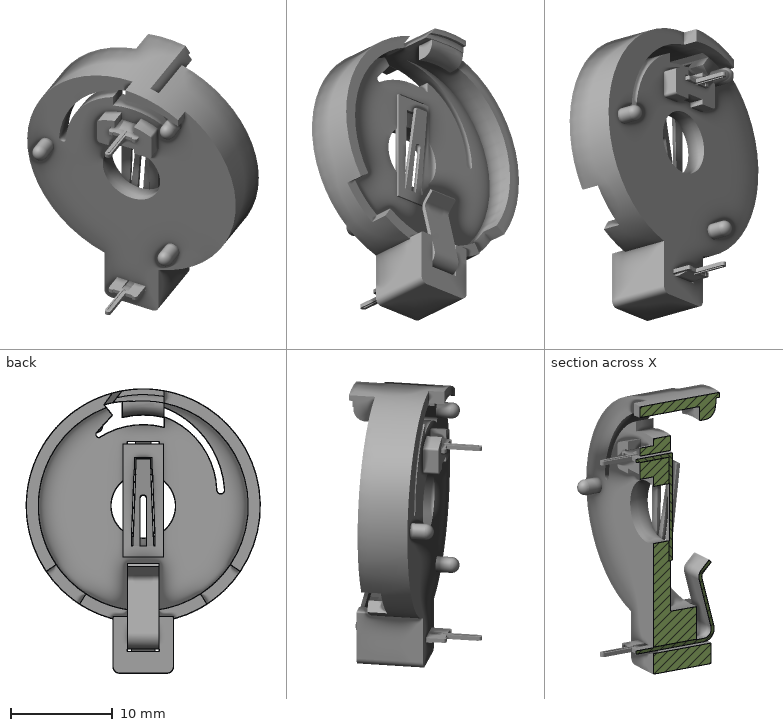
import cadquery as cq
import math


cup_radius = 23.0 / 2
cavity_radius = 10.3
cup_depth = 4.97
floor_thickness = 2.0
hole_radius = 3.15
notch_start_angle = 34
notch_end_angle = 57
notch_floor_y = 3.02

overall_height = 27.95
box_bottom = cup_radius - overall_height
box_half_width = 3.0
box_depth = 6.65
box_top = -10.85
box_bottom_radius = 0.7
box_top_radius = 0.17

arm_centre = (1.29, 1.0)
arm_radius = 9.28
slot_centre = (0.75, 1.29)
slot_radius = 8.0
slot_end_z = 1.56
slot_outer_middle_x = -3.9
slot_inner_middle_x = -5.3
window_radius = 8.0
window_left = -2.05
window_tip_x = 4.33
beak_root = (3.85, 9.95)
beak_point = (3.02, 8.9)
beak_foot = (4.55, 7.25)
tip_bulge = (4.6, 6.9)
arm_end_top = (2.07, 11.32)
arm_end_bottom = (3.0, 10.11)
rim_end_top = (3.02, 11.1)
cut_margin = 0.28

tab_end_y = 7.6
tab_lip_start_y = 7.25
tab_lip_thickness = 0.55
tab_right = 3.0
hook_right = 2.07
hook_radius = 8.9
hook_front_y = 5.28
hook_back_y = 7.15
hook_round = 1.23

raised_height = 1.55
guard_left = 0.1
guard_right = 5.92
block_half_width = 3.0
block_bottom = 3.9
block_top_radius = 6.5
block_top_centre = (0, 0.78)
block_corner_radius = 0.28
block_notch_half_width = 1.05
block_notch_bottom_height = 0.5
peg_radius = 0.78
peg_length = 2.24
peg_places = [(-9.3, 0.2), (4.75, 7.93), (4.5, -8.07)]

sheet = 0.4
slot_height = 0.61
pad_half_width = 1.56
pad_front_y = -2.0
pad_corner_radius = 0.22
pad_relief_half_width = 1.05
pad_relief_depth = 0.15
neck_groove_half_width = 0.4
neck_offset = 0.22
neck_start_y = 0.55
neck_slope_length = 0.98
upper_neck_half_width = 0.78
upper_neck_end_y = -1.17
lower_neck_half_width = 1.17
lower_neck_end_y = -1.42
pin_width = 0.61
pin_front_y = -5.35
pin_tip_ratio = 0.45
ridge_width = 0.25
ridge_height = 0.08
ridge_front_y = -5.03
upper_terminal_z = 5.7
lower_terminal_z = -13.65

plate_front_y = 1.82
plate_half_width = 2.0
plate_bottom = -5.03
tongue_root_z = -3.9
tongue_tip_z = 4.75
tongue_root_half_width = 1.03
tongue_tip_half_width = 0.7
tongue_gap = 0.15
tongue_tilt = 8
tongue_slit_half_width = 0.3
tongue_slit_top = 1.15

bend_y = 5.8
bend_outer_radius = 1.2
spring_tilt = 15
tip_tilt = 45
knee_point = (5.3, -7.05)
knee_radius = 0.73
spring_tip_y = 6.55


def front_plane(y):
    """Workplane at depth y, drawn in X and Z; positive extrusion runs toward -Y."""
    return cq.Workplane("XZ", origin=(0, y, 0))


def block(x0, x1, y0, y1, z0, z1):
    size = (x1 - x0, y1 - y0, z1 - z0)
    return cq.Workplane("XY").box(*size, centered=False).translate((x0, y0, z0))


def disc(radius, y0, y1, centre=(0, 0)):
    return front_plane(y1).center(*centre).circle(radius).extrude(y1 - y0)


def circle_z(radius, x, centre=(0, 0)):
    """Height of the upper half of a circle at x."""
    return centre[1] + math.sqrt(radius ** 2 - (x - centre[0]) ** 2)


def circle_point(radius, x, centre=(0, 0)):
    return (x, circle_z(radius, x, centre))


def left_point(radius, z, centre):
    """Point at height z on the left half of a circle."""
    return (centre[0] - math.sqrt(radius ** 2 - (z - centre[1]) ** 2), z)


def x_on_line(start, end, z):
    return start[0] + (end[0] - start[0]) * (z - start[1]) / (end[1] - start[1])



def cup():
    body = disc(cup_radius, 0, cup_depth)
    body = body.cut(disc(cavity_radius, floor_thickness, cup_depth))
    return body.cut(disc(hole_radius, 0, floor_thickness))


def side_notches():
    """Radial gaps through the rim on both sides of the box."""
    reach = 2 * cup_radius
    start = math.radians(notch_start_angle)
    end = math.radians(notch_end_angle)
    cuts = cq.Workplane("XY")
    for side in (-1, 1):
        corners = [(0, 0)]
        for angle in (start, end):
            corners.append((side * reach * math.cos(angle), -reach * math.sin(angle)))
        wedge = front_plane(cup_depth).polyline(corners).close().extrude(cup_depth - notch_floor_y)
        cuts = cuts.add(wedge)
    return cuts.combine()


def terminal_box():
    body = block(-box_half_width, box_half_width, 0, box_depth, box_bottom, box_top)
    body = body.edges("|Y and <Z").fillet(box_bottom_radius)
    body = body.edges("|Y and >Z").fillet(box_top_radius)
    return body.cut(disc(cavity_radius, floor_thickness, box_depth))


def arm_opening():
    """Narrow curved slot that widens into the window below the latch."""
    outer_left = left_point(arm_radius, slot_end_z, arm_centre)
    inner_left = left_point(slot_radius, slot_end_z, slot_centre)
    end_radius = (inner_left[0] - outer_left[0]) / 2
    slot_end = (outer_left[0] + end_radius, slot_end_z - end_radius)
    outer_middle = circle_point(arm_radius, slot_outer_middle_x, arm_centre)
    inner_middle = circle_point(slot_radius, slot_inner_middle_x, slot_centre)
    outline = (
        front_plane(cup_depth)
        .moveTo(*outer_left)
        .threePointArc(outer_middle, beak_root)
        .lineTo(*beak_point)
        .lineTo(*beak_foot)
        .threePointArc(tip_bulge, circle_point(window_radius, window_tip_x))
        .threePointArc((0, window_radius), circle_point(window_radius, window_left))
        .lineTo(*circle_point(slot_radius, window_left, slot_centre))
        .threePointArc(inner_middle, inner_left)
        .threePointArc(slot_end, outer_left)
        .close()
    )
    return outline.extrude(cup_depth)


def arm_end_gap():
    """Slanted gap between the end of the arm and the rim."""
    above = cup_radius + cut_margin
    outline = [
        (x_on_line(arm_end_top, arm_end_bottom, above), above),
        arm_end_bottom,
        beak_root,
        (x_on_line(rim_end_top, beak_root, above), above),
    ]
    return front_plane(tab_end_y).polyline(outline).close().extrude(tab_end_y)


def ring_part(inner_radius, x0, x1, y0, y1):
    """Piece of the upper rim between two X limits."""
    ring = disc(cup_radius, y0, y1).cut(disc(inner_radius, y0, y1))
    return ring.intersect(block(x0, x1, y0, y1, 0, cup_radius))


def latch():
    tab = ring_part(cavity_radius, window_left, tab_right, cup_depth, tab_lip_start_y)
    tab = tab.cut(disc(arm_radius, cup_depth, tab_lip_start_y, arm_centre))
    lip_radius = cup_radius - tab_lip_thickness
    lip = ring_part(lip_radius, window_left, tab_right, tab_lip_start_y, tab_end_y)
    hook = ring_part(hook_radius, window_left, hook_right, hook_front_y, hook_back_y)
    hook = hook.faces(">Y").edges("<Z").fillet(hook_round)
    return tab.union(lip).union(hook)


def guard_plate():
    body = ring_part(window_radius, guard_left, guard_right, -raised_height, 0)
    return body.cut(disc(arm_radius, -raised_height, 0, arm_centre))


def terminal_block():
    body = block(-block_half_width, block_half_width, -raised_height, 0, block_bottom, cup_radius)
    body = body.intersect(disc(block_top_radius, -raised_height, 0, block_top_centre))
    body = body.edges("|Y").fillet(block_corner_radius)
    half = block_notch_half_width
    notch_top = block_bottom + block_notch_bottom_height
    body = body.cut(block(-half, half, -raised_height, 0, block_bottom, notch_top))
    return body.cut(block(-half, half, -raised_height, 0, upper_terminal_z, cup_radius))


def peg(x, z):
    body = front_plane(0).center(x, z).circle(peg_radius).extrude(peg_length - peg_radius)
    dome = cq.Workplane("XY").sphere(peg_radius).translate((x, peg_radius - peg_length, z))
    return body.union(dome)


def contact_spaces():
    """Slots for the terminals, floor recess of the plate and back pocket of the spring."""
    slot_top = upper_terminal_z + slot_height
    slot_bottom = lower_terminal_z - slot_height
    w = pad_half_width
    upper_slot = block(-w, w, -raised_height, floor_thickness, upper_terminal_z, slot_top)
    recess = block(-plate_half_width, plate_half_width, plate_front_y, floor_thickness,
                   plate_bottom, upper_terminal_z + sheet)
    lower_slot = block(-w, w, 0, box_depth, slot_bottom, lower_terminal_z)
    pocket = block(-w, w, cup_depth, box_depth, slot_bottom, box_top)
    return upper_slot.union(recess).union(lower_slot).union(pocket)


def make_housing():
    body = cup().union(guard_plate()).cut(side_notches())
    body = body.union(terminal_box())
    body = body.cut(arm_opening())
    body = body.union(latch())
    body = body.cut(arm_end_gap())
    body = body.union(terminal_block())
    for x, z in peg_places:
        body = body.union(peg(x, z))
    return body.cut(contact_spaces())



def terminal(back_y, neck_half_width, neck_end_y):
    """Solder terminal with its flat face on Z = 0 and its embossing toward +Z."""
    pads = block(-pad_half_width, pad_half_width, pad_front_y, back_y, 0, sheet)
    pads = pads.edges("|Z and <Y").fillet(pad_corner_radius)
    relief_end = pad_front_y + pad_relief_depth
    pads = pads.cut(block(-pad_relief_half_width, pad_relief_half_width, pad_front_y, relief_end, 0, sheet))

    neck_side = [
        (neck_end_y, 0),
        (neck_end_y + neck_slope_length, neck_offset),
        (neck_start_y, neck_offset),
        (neck_start_y, 0),
    ]
    groove = cq.Workplane("YZ").polyline(neck_side).close().extrude(neck_groove_half_width, both=True)
    bulge = cq.Workplane("YZ").polyline(neck_side).close().extrude(neck_half_width, both=True)
    bulge = bulge.translate((0, 0, sheet))

    pin = block(-pin_width / 2, pin_width / 2, pin_front_y, relief_end, 0, sheet)
    pin = pin.edges("|Z and <Y").fillet(pin_tip_ratio * pin_width)
    rib = block(-ridge_width / 2, ridge_width / 2, ridge_front_y, neck_end_y, 0, ridge_height)
    rib = rib.edges("|Z and <Y").fillet(pin_tip_ratio * ridge_width)
    body = pads.union(pin).cut(groove).cut(rib)
    return body.union(bulge).union(rib.translate((0, 0, sheet)))


def taper(width_offset):
    """Tapered tongue outline, widened on both sides by width_offset."""
    root = tongue_root_half_width + width_offset
    tip = tongue_tip_half_width + width_offset
    return [(-root, tongue_root_z), (root, tongue_root_z), (tip, tongue_tip_z), (-tip, tongue_tip_z)]


def make_negative_contact():
    back_y = plate_front_y + sheet
    plate = block(-plate_half_width, plate_half_width, plate_front_y, back_y,
                  plate_bottom, upper_terminal_z + sheet)
    plate = plate.cut(front_plane(back_y).polyline(taper(tongue_gap)).close().extrude(sheet))

    tongue = front_plane(back_y).polyline(taper(0)).close().extrude(sheet)
    slit_arc_z = tongue_slit_top - tongue_slit_half_width
    slit = (
        front_plane(back_y)
        .moveTo(-tongue_slit_half_width, tongue_root_z)
        .lineTo(tongue_slit_half_width, tongue_root_z)
        .lineTo(tongue_slit_half_width, slit_arc_z)
        .threePointArc((0, tongue_slit_top), (-tongue_slit_half_width, slit_arc_z))
        .close()
        .extrude(sheet)
    )
    tongue = tongue.cut(slit)
    tongue = tongue.rotate((0, plate_front_y, tongue_root_z), (1, plate_front_y, tongue_root_z), -tongue_tilt)

    leg = terminal(back_y, upper_neck_half_width, upper_neck_end_y).translate((0, 0, upper_terminal_z))
    return plate.union(tongue).union(leg)


def make_positive_contact():
    """Lower terminal whose strip bends up behind the box and leans over the cavity."""
    middle_radius = bend_outer_radius - sheet / 2
    bend_z = lower_terminal_z - sheet + bend_outer_radius
    lean = math.radians(spring_tilt)
    flare = math.radians(tip_tilt)

    def bend_point(angle):
        return (bend_y + middle_radius * math.cos(angle), bend_z + middle_radius * math.sin(angle))

    def from_knee(distance, slant):
        return (knee_point[0] + distance * math.sin(slant), knee_point[1] + distance * math.cos(slant))

    knee_reach = knee_radius * math.tan((lean + flare) / 2)
    knee_start = from_knee(-knee_reach, -lean)
    knee_end = from_knee(knee_reach, flare)
    spring_tip = from_knee((spring_tip_y - knee_point[0]) / math.sin(flare), flare)

    path = (
        cq.Workplane("YZ")
        .moveTo(bend_y, bend_z - middle_radius)
        .threePointArc(bend_point((lean - math.pi / 2) / 2), bend_point(lean))
        .lineTo(*knee_start)
        .tangentArcPoint(knee_end, relative=False)
        .lineTo(*spring_tip)
    )
    profile = front_plane(bend_y).center(0, bend_z - middle_radius).rect(2 * pad_half_width, sheet)
    spring = profile.sweep(path, transition="round")
    leg = terminal(bend_y, lower_neck_half_width, lower_neck_end_y)
    leg = leg.mirror("XY").translate((0, 0, lower_terminal_z))
    return leg.union(spring)


housing = make_housing()
negative_contact = make_negative_contact()
positive_contact = make_positive_contact()

result = cq.Compound.makeCompound([
    housing.solids().val(),
    negative_contact.solids().val(),
    positive_contact.solids().val(),
])